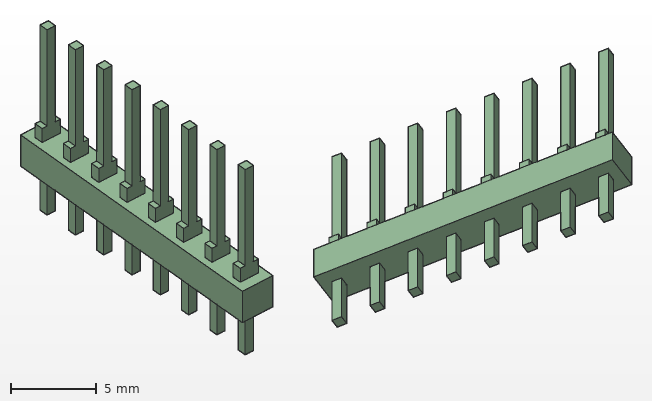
import cadquery as cq

strip_length = 19.91
strip_width = 2.35
strip_height = 2.29

pin_count = 8
pin_row_length = 17.78
pin_pitch = pin_row_length / (pin_count - 1)
pin_width = 0.64
total_height = 13.54
pin_tail = 3.2

shoulder_width = 1.4
shoulder_height = 1.02


def make_pin(x):
    """One square pin through the strip, with its shoulder."""
    shaft = (
        cq.Workplane("XY", origin=(x, 0, -pin_tail))
        .rect(pin_width, pin_width)
        .extrude(total_height)
    )
    shoulder = (
        cq.Workplane("XY", origin=(x, 0, 0))
        .rect(pin_width, shoulder_width)
        .extrude(strip_height + shoulder_height)
    )
    return shaft.union(shoulder)


result = cq.Workplane("XY").rect(strip_length, strip_width).extrude(strip_height)

first_pin_x = -pin_row_length / 2
for i in range(pin_count):
    result = result.union(make_pin(first_pin_x + i * pin_pitch))